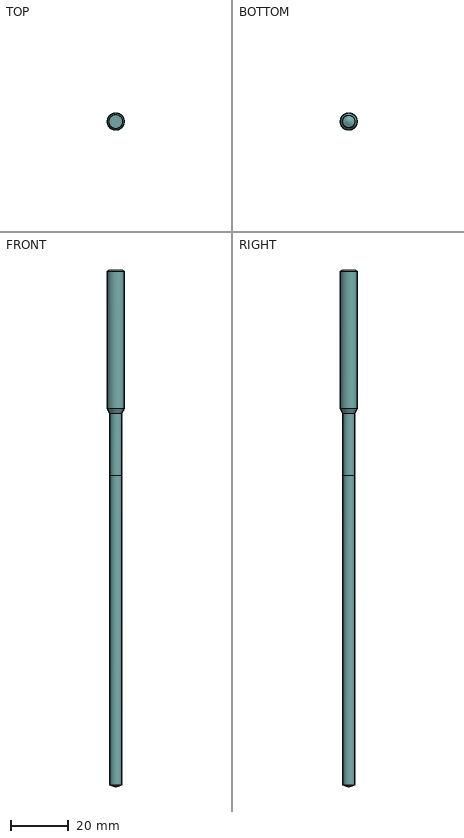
import cadquery as cq
import math

OVERALL_LENGTH = 179.78
SHANK_DIAMETER = 6.0
SHANK_LENGTH = 48.2
SHANK_CHAMFER = 0.6
DRILL_DIAMETER = 4.3
SHOULDER_ANGLE = 55.0
POINT_ANGLE = 140.0
CUTTING_LENGTH = 108.28

shank_radius = SHANK_DIAMETER / 2
drill_radius = DRILL_DIAMETER / 2
point_height = drill_radius / math.tan(math.radians(POINT_ANGLE / 2))
shoulder_height = (shank_radius - drill_radius) / math.tan(math.radians(SHOULDER_ANGLE / 2))
shank_bottom = OVERALL_LENGTH - SHANK_LENGTH
neck_top = shank_bottom - shoulder_height


def revolved(half_profile):
    """Revolve a closed (radius, height) half profile about the Z axis."""
    return cq.Workplane("XZ").polyline(half_profile).close().revolve(360, (0, 0, 0), (0, 1, 0))


def make_shank():
    """Chamfered shank that tapers into the neck above the cutting part."""
    return revolved([
        (0, CUTTING_LENGTH),
        (drill_radius, CUTTING_LENGTH),
        (drill_radius, neck_top),
        (shank_radius, shank_bottom),
        (shank_radius, OVERALL_LENGTH - SHANK_CHAMFER),
        (shank_radius - SHANK_CHAMFER, OVERALL_LENGTH),
        (0, OVERALL_LENGTH),
    ])


def make_cutting_part():
    """Plain cylinder ending in a conical drill point."""
    return revolved([
        (0, 0),
        (drill_radius, point_height),
        (drill_radius, CUTTING_LENGTH),
        (0, CUTTING_LENGTH),
    ])


shank = make_shank()
cutting_part = make_cutting_part()

result = cq.Compound.makeCompound([shank.val(), cutting_part.val()])